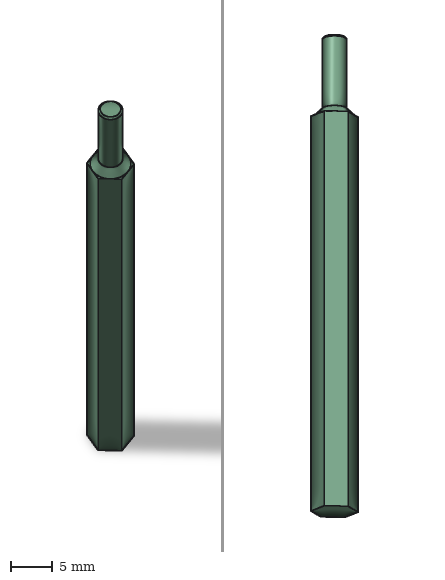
import cadquery as cq
import math

total_length = 60.0
body_length = 50.0
across_flats = 5.0
stud_diameter = 3.0
tip_chamfer = 0.25

across_corners = across_flats / math.cos(math.pi / 6)
body = cq.Workplane("XY").polygon(6, across_corners).extrude(body_length)

stud = (
    cq.Workplane("XY", origin=(0, 0, body_length))
    .circle(stud_diameter / 2)
    .extrude(total_length - body_length)
    .faces(">Z")
    .chamfer(tip_chamfer)
)

shoulder_height = (across_flats - stud_diameter) / 2
shoulder = cq.Workplane("XY").add(
    cq.Solid.makeCone(
        across_flats / 2,
        stud_diameter / 2,
        shoulder_height,
        pnt=cq.Vector(0, 0, body_length),
    )
)

result = body.union(shoulder).union(stud)